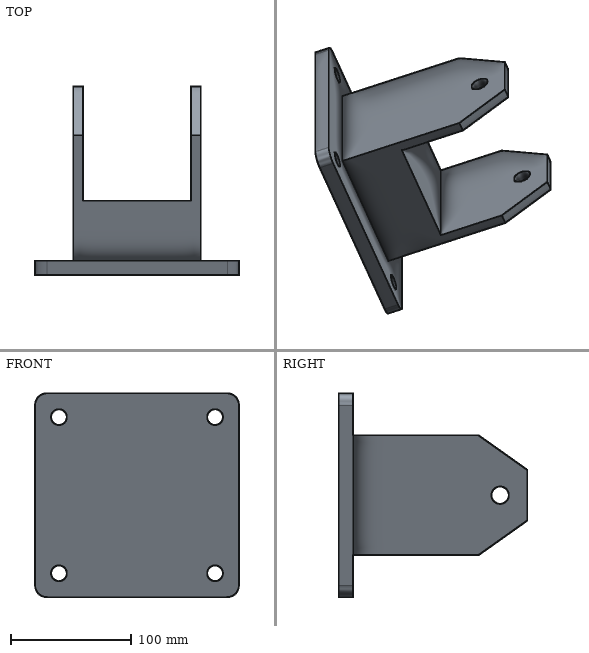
import cadquery as cq

plate_side = 170.0
plate_thickness = 12.0
plate_corner_radius = 10.0
mount_hole_spacing = 130.0
mount_hole_diameter = 13.0

total_depth = 157.0
fork_height = 100.0
arm_gap = 90.0
arm_thickness = 8.2
root_depth = 50.0
fork_width = arm_gap + 2 * arm_thickness
slot_floor = plate_thickness + root_depth

taper_length = 40.6
tip_height = 42.3
pin_hole_setback = 22.6
pin_hole_diameter = 14.3
taper_start = total_depth - taper_length


def make_plate():
    """Square plate with rounded corners and four mounting holes."""
    return (
        cq.Workplane("XZ")
        .rect(plate_side, plate_side)
        .extrude(-plate_thickness)
        .edges("|Y")
        .fillet(plate_corner_radius)
        .faces("<Y")
        .workplane(origin=(0, 0, 0))
        .rect(mount_hole_spacing, mount_hole_spacing, forConstruction=True)
        .vertices()
        .hole(mount_hole_diameter)
    )


def make_fork():
    """Tapered side profile, slotted into two arms and drilled for the pin."""
    profile = [
        (plate_thickness, -fork_height / 2),
        (taper_start, -fork_height / 2),
        (total_depth, -tip_height / 2),
        (total_depth, tip_height / 2),
        (taper_start, fork_height / 2),
        (plate_thickness, fork_height / 2),
    ]
    body = cq.Workplane("YZ").polyline(profile).close().extrude(fork_width / 2, both=True)
    slot = cq.Workplane("XY").box(
        arm_gap, total_depth - slot_floor, fork_height, centered=(True, False, True)
    ).translate((0, slot_floor, 0))
    pin_hole = (
        cq.Workplane("YZ")
        .center(total_depth - pin_hole_setback, 0)
        .circle(pin_hole_diameter / 2)
        .extrude(fork_width / 2, both=True)
    )
    return body.cut(slot).cut(pin_hole)


result = make_plate().union(make_fork())